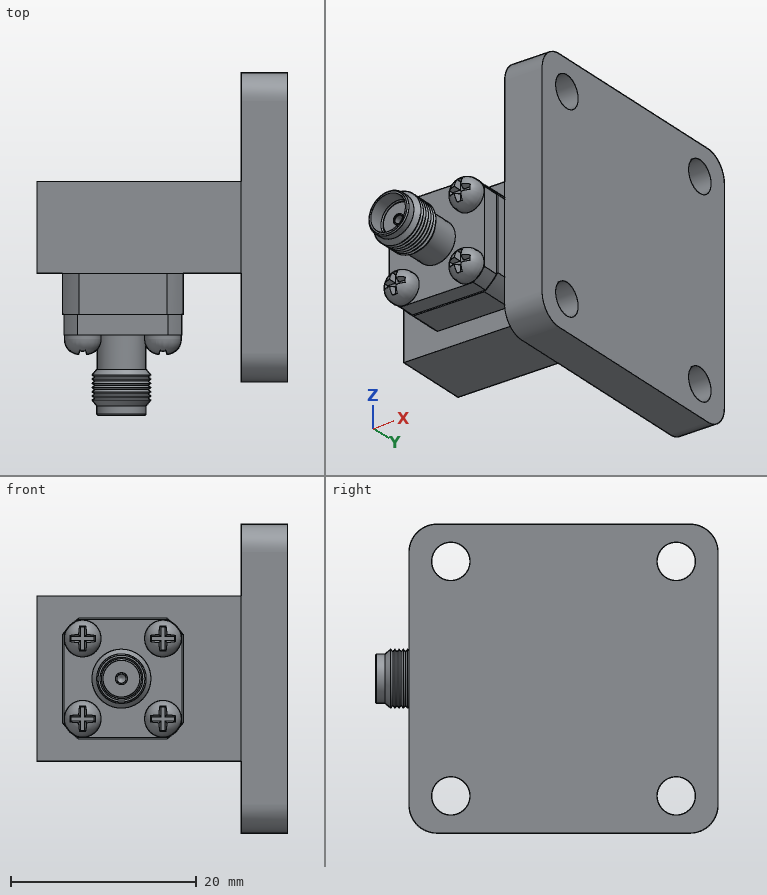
import cadquery as cq
import math


FLANGE_SIDE = 33.29
FLANGE_THICKNESS = 5.0
FLANGE_CORNER_RADIUS = 3.05
FLANGE_HOLE_DIAMETER = 4.1
FLANGE_HOLE_PITCH_Y = 24.26
FLANGE_HOLE_PITCH_Z = 25.24

OVERALL_LENGTH = 26.99
BODY_LENGTH = OVERALL_LENGTH - FLANGE_THICKNESS
BODY_DEPTH = 9.92
BODY_HEIGHT = 17.83
BODY_END_X = -OVERALL_LENGTH
BODY_FRONT_Y = -BODY_DEPTH / 2

MOUNT_CENTER_X = BODY_END_X + 9.25
SPACER_SIDE = 13.02
SPACER_THICKNESS = 4.4
SPACER_CORNER_DIAMETER = 16.1
PLATE_SIDE = 12.7
PLATE_THICKNESS = 2.23
PLATE_CORNER_DIAMETER = 16.0
SPACER_FRONT_Y = BODY_FRONT_Y - SPACER_THICKNESS
PLATE_FRONT_Y = SPACER_FRONT_Y - PLATE_THICKNESS

SCREW_PITCH = 8.64
HEAD_DIAMETER = 3.96
HEAD_HEIGHT = 2.13
HEAD_RIM_HEIGHT = 0.45
RECESS_LENGTH = 2.95
RECESS_WIDTH = 0.88
RECESS_DEPTH = 0.8
RECESS_TAPER_DEGREES = 16.0

CONNECTOR_CENTER_X = BODY_END_X + 9.1
OVERALL_DEPTH = 36.9
CONNECTOR_LENGTH = OVERALL_DEPTH - FLANGE_SIDE / 2 + PLATE_FRONT_Y
BARREL_DIAMETER = 5.26
NOSE_DIAMETER = 5.34
NOSE_LENGTH = 1.05
NOSE_CHAMFER = 0.15
THREAD_DIAMETER = 6.35
THREAD_DEPTH = 0.28
THREAD_GROOVES = 6
THREAD_PITCH = 0.455
THREAD_CHAMFER_LENGTH = 0.6
BORE_DIAMETER = 4.6
BORE_DEPTH = 1.85
INSULATOR_FACE_DIAMETER = 3.96
GROOVE_ROOT_DIAMETER = 4.3
GROOVE_DEPTH = 0.15
CONTACT_DIAMETER = 1.3
CONTACT_RECESS = 0.1
SOCKET_DIAMETER = 1.0
SOCKET_DEPTH = 2.0
SOCKET_TIP_ANGLE = 118.0


def plane_facing_front(x, y, z=0.0):
    """Work plane normal to -Y, with its local X along +X and local Y along +Z."""
    return cq.Workplane(cq.Plane(origin=(x, y, z), xDir=(1, 0, 0), normal=(0, -1, 0)))


def make_flange():
    flange = (
        cq.Workplane("YZ")
        .rect(FLANGE_SIDE, FLANGE_SIDE)
        .extrude(-FLANGE_THICKNESS)
        .edges("|X")
        .fillet(FLANGE_CORNER_RADIUS)
    )
    holes = (
        cq.Workplane("YZ")
        .rect(FLANGE_HOLE_PITCH_Y, FLANGE_HOLE_PITCH_Z, forConstruction=True)
        .vertices()
        .circle(FLANGE_HOLE_DIAMETER / 2)
        .extrude(-FLANGE_THICKNESS)
    )
    return flange.cut(holes)


def make_body():
    return (
        cq.Workplane("YZ", origin=(-FLANGE_THICKNESS, 0, 0))
        .rect(BODY_DEPTH, BODY_HEIGHT)
        .extrude(-BODY_LENGTH)
    )


def make_mount_layer(back_y, side, thickness, corner_diameter):
    """Square layer of the connector mount, its corners trimmed by a round centred on the mount."""
    square = plane_facing_front(MOUNT_CENTER_X, back_y).rect(side, side).extrude(thickness)
    trim = (
        plane_facing_front(MOUNT_CENTER_X, back_y)
        .circle(corner_diameter / 2)
        .extrude(thickness)
    )
    return square.intersect(trim)


def make_screw_head(x, z):
    head = (
        plane_facing_front(x, PLATE_FRONT_Y, z)
        .circle(HEAD_DIAMETER / 2)
        .extrude(HEAD_HEIGHT)
        .faces("<Y")
        .edges()
        .fillet(HEAD_HEIGHT - HEAD_RIM_HEIGHT)
    )
    head_top = cq.Plane(
        origin=(x, PLATE_FRONT_Y - HEAD_HEIGHT, z), xDir=(1, 0, 0), normal=(0, 1, 0)
    )
    for length, width in ((RECESS_LENGTH, RECESS_WIDTH), (RECESS_WIDTH, RECESS_LENGTH)):
        slot = cq.Workplane(head_top).rect(length, width).extrude(
            RECESS_DEPTH, taper=RECESS_TAPER_DEGREES
        )
        head = head.cut(slot)
    return head


def make_connector():
    """Threaded jack, revolved from a half section given as (radius, axial position)."""
    barrel_radius = BARREL_DIAMETER / 2
    nose_radius = NOSE_DIAMETER / 2
    crest_radius = THREAD_DIAMETER / 2
    root_radius = crest_radius - THREAD_DEPTH
    nose_start = CONNECTOR_LENGTH - NOSE_LENGTH
    thread_end = nose_start - THREAD_CHAMFER_LENGTH
    thread_start = thread_end - THREAD_GROOVES * THREAD_PITCH
    shoulder = thread_start - THREAD_CHAMFER_LENGTH

    section = [(0, 0), (barrel_radius, 0), (barrel_radius, shoulder), (nose_radius, shoulder)]
    for groove in range(THREAD_GROOVES):
        crest = thread_start + groove * THREAD_PITCH
        section.append((crest_radius, crest))
        section.append((root_radius, crest + THREAD_PITCH / 2))
    section.append((crest_radius, thread_end))
    section.append((nose_radius, nose_start))
    section.append((nose_radius, CONNECTOR_LENGTH - NOSE_CHAMFER))
    section.append((nose_radius - NOSE_CHAMFER, CONNECTOR_LENGTH))

    insulator_face = CONNECTOR_LENGTH - BORE_DEPTH
    section.append((BORE_DIAMETER / 2, CONNECTOR_LENGTH))
    section.append((BORE_DIAMETER / 2, insulator_face))
    section.append((GROOVE_ROOT_DIAMETER / 2, insulator_face - GROOVE_DEPTH))
    section.append((INSULATOR_FACE_DIAMETER / 2, insulator_face))

    contact_face = insulator_face - CONTACT_RECESS
    socket_radius = SOCKET_DIAMETER / 2
    socket_end = contact_face - SOCKET_DEPTH
    tip_length = socket_radius / math.tan(math.radians(SOCKET_TIP_ANGLE / 2))
    section.append((CONTACT_DIAMETER / 2, insulator_face))
    section.append((CONTACT_DIAMETER / 2, contact_face))
    section.append((socket_radius, contact_face))
    section.append((socket_radius, socket_end))
    section.append((0, socket_end - tip_length))

    half_section_plane = cq.Plane(
        origin=(CONNECTOR_CENTER_X, PLATE_FRONT_Y, 0), xDir=(1, 0, 0), normal=(0, 0, -1)
    )
    return cq.Workplane(half_section_plane).polyline(section).close().revolve(360, (0, 0), (0, 1))


result = make_flange().union(make_body())
result = result.union(
    make_mount_layer(BODY_FRONT_Y, SPACER_SIDE, SPACER_THICKNESS, SPACER_CORNER_DIAMETER)
)
result = result.union(
    make_mount_layer(SPACER_FRONT_Y, PLATE_SIDE, PLATE_THICKNESS, PLATE_CORNER_DIAMETER)
)
for x_side in (-1, 1):
    for z_side in (-1, 1):
        screw_x = MOUNT_CENTER_X + x_side * SCREW_PITCH / 2
        screw_z = z_side * SCREW_PITCH / 2
        result = result.union(make_screw_head(screw_x, screw_z))
result = result.union(make_connector())